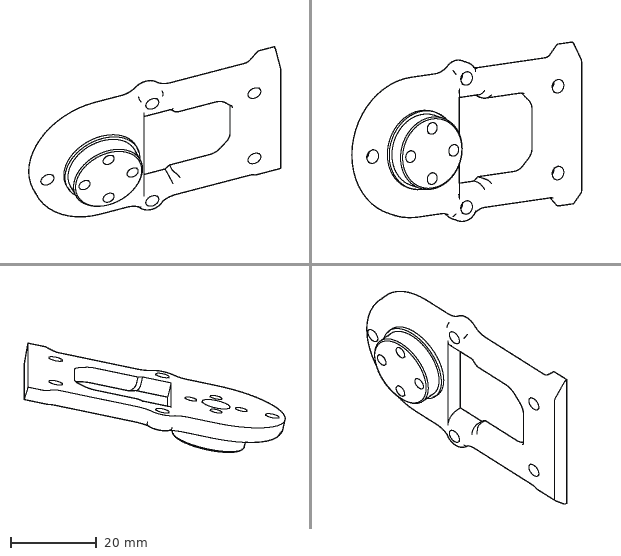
import cadquery as cq
import math


plate_thickness = 4.2
end_radius = 16.5
straight_end_y = 44.8
rim_fillet = 2.0

ear_y = 12.75
ear_z = 15.4
ear_radius = 3.6
ear_blend_radius = 5.0
ear_fillet = 1.6

flange_half_width = 19.32
flange_flat_y = 40.7
flange_foot_y = 38.15
flange_inner_y = 36.5
flank_foot_fillet = 1.8
flank_ridge_fillet = 0.6
bevel_start_x = 0.6
bevel_top_round = 1.2
bevel_bottom_round = 1.2

window_near_y = 10.7
window_far_y = 33.7
window_wide_half = 10.45
window_narrow_half = 9.55
window_step_start_y = 17.5
window_step_end_y = 18.6
window_corner_chamfer = 3.6
window_corner_fillet = 3.5
window_narrow_flare = rim_fillet
window_wide_flare = 2.7

collar_diameter = 18.7
collar_top_x = 5.0
hub_diameter = 17.2
hub_top_x = 9.0
hub_chamfer = 0.35
bore_diameter = 6.6
bore_depth = 3.0
bore_floor_diameter = 3.1
bore_floor_half_angle = 59

mount_hole_diameter = 3.2
end_hole_y = 38.2
end_hole_z = 10.37
tip_hole_y = -13.4
hub_hole_diameter = 2.75
hub_hole_offset = 6.0

SIDES = (-1, 1)
margin = 0.1


def cylinder_x(y, z, diameter, start_x, end_x):
    """Cylinder parallel to X."""
    base = cq.Workplane("YZ", origin=(start_x, y, z))
    return base.circle(diameter / 2).extrude(end_x - start_x)


def edges_near(x, y, z):
    """Selector for the two edges centred at (x, y, z) and mirrored at -z."""
    boxes = [
        cq.selectors.BoxSelector(
            (x - margin, y - margin, side * z - margin),
            (x + margin, y + margin, side * z + margin),
        )
        for side in SIDES
    ]
    return boxes[0] + boxes[1]


def plate_outline():
    """Round-ended plate outline with an ear blended into each long side."""
    blend_z = end_radius + ear_blend_radius
    centre_distance = ear_radius + ear_blend_radius
    blend_dy = math.sqrt(centre_distance ** 2 - (blend_z - ear_z) ** 2)
    ear_share = ear_radius / centre_distance
    touch_dy = blend_dy * ear_share
    touch_z = ear_z + (blend_z - ear_z) * ear_share
    half_angle = math.atan2(blend_dy, blend_z - ear_z) / 2
    mid_dy = blend_dy - ear_blend_radius * math.sin(half_angle)
    mid_z = blend_z - ear_blend_radius * math.cos(half_angle)
    ear_top_z = ear_z + ear_radius
    return (
        cq.Workplane("YZ")
        .moveTo(straight_end_y, -end_radius)
        .lineTo(straight_end_y, end_radius)
        .lineTo(ear_y + blend_dy, end_radius)
        .threePointArc((ear_y + mid_dy, mid_z), (ear_y + touch_dy, touch_z))
        .threePointArc((ear_y, ear_top_z), (ear_y - touch_dy, touch_z))
        .threePointArc((ear_y - mid_dy, mid_z), (ear_y - blend_dy, end_radius))
        .lineTo(0, end_radius)
        .threePointArc((-end_radius, 0), (0, -end_radius))
        .lineTo(ear_y - blend_dy, -end_radius)
        .threePointArc((ear_y - mid_dy, -mid_z), (ear_y - touch_dy, -touch_z))
        .threePointArc((ear_y, -ear_top_z), (ear_y + touch_dy, -touch_z))
        .threePointArc((ear_y + mid_dy, -mid_z), (ear_y + blend_dy, -end_radius))
        .close()
    )


def make_plate():
    """Plate with a rounded rim everywhere except along the square end."""
    plate = plate_outline().extrude(plate_thickness)
    square_end = cq.selectors.BoxSelector(
        (0, straight_end_y - margin, -flange_half_width),
        (plate_thickness + margin, straight_end_y + margin, flange_half_width),
    )
    rim = cq.selectors.SubtractSelector(cq.selectors.StringSyntaxSelector(">X"), square_end)
    return plate.faces(">X").edges(rim).fillet(rim_fillet)


def make_ear_cap(side):
    """Disc with a tighter rim rounding that crowns one ear."""
    disc = cylinder_x(ear_y, side * ear_z, 2 * ear_radius, 0, plate_thickness)
    return disc.faces(">X").edges().fillet(ear_fillet)


def make_flange():
    """Widened square end with sloped flanks and bevelled, rounded long edges."""
    outline = (
        cq.Workplane("YZ")
        .polyline([
            (straight_end_y, -flange_half_width),
            (straight_end_y, flange_half_width),
            (flange_flat_y, flange_half_width),
            (flange_foot_y, end_radius),
            (flange_inner_y, end_radius),
            (flange_inner_y, -end_radius),
            (flange_foot_y, -end_radius),
            (flange_flat_y, -flange_half_width),
        ])
        .close()
        .extrude(plate_thickness)
    )
    mid_x = plate_thickness / 2
    outline = outline.edges(edges_near(mid_x, flange_foot_y, end_radius)).fillet(flank_foot_fillet)
    flank_rims = cq.selectors.BoxSelector(
        (plate_thickness - margin, flange_inner_y + margin, -flange_half_width + margin),
        (plate_thickness + margin, flange_flat_y, flange_half_width - margin),
    )
    outline = outline.edges(flank_rims).fillet(rim_fillet)
    bevel_end_z = flange_half_width - (plate_thickness - bevel_start_x)
    bevelled = (
        cq.Workplane("XZ", origin=(0, straight_end_y, 0))
        .polyline([
            (0, -flange_half_width),
            (bevel_start_x, -flange_half_width),
            (plate_thickness, -bevel_end_z),
            (plate_thickness, bevel_end_z),
            (bevel_start_x, flange_half_width),
            (0, flange_half_width),
        ])
        .close()
        .extrude(straight_end_y)
        .edges(edges_near(bevel_start_x, straight_end_y / 2, flange_half_width)).fillet(bevel_top_round)
        .edges(">X and |Y").fillet(bevel_bottom_round)
    )
    ridge_edges = cq.selectors.BoxSelector(
        (bevel_start_x, (flange_flat_y + flange_foot_y) / 2, -flange_half_width),
        (plate_thickness - rim_fillet - margin, flange_flat_y, flange_half_width),
    )
    return outline.intersect(bevelled).edges(ridge_edges).fillet(flank_ridge_fillet)


def flared_cutter(opening, flare_radius):
    """Grow an opening by the rim rounding it leaves, except along the wall next to the hub."""
    block_length = 4 * window_far_y
    block_width = 4 * window_wide_half
    block = cq.Workplane("YZ").rect(block_length, block_width).extrude(plate_thickness)
    rim = cq.selectors.BoxSelector(
        (plate_thickness - margin, window_near_y + margin, -window_wide_half - margin),
        (plate_thickness + margin, window_far_y + margin, window_wide_half + margin),
    )
    surround = block.cut(opening).edges(rim).fillet(flare_radius)
    return block.cut(surround)


def mirrored_opening(half):
    """Through opening from the +Z half of its outline."""
    mirrored = [(y, -z) for y, z in reversed(half)]
    return cq.Workplane("YZ").polyline(half + mirrored).close().extrude(plate_thickness)


def make_window():
    """Window cutter: long opening with chamfered corners plus a wider, tapering opening."""
    corner_y = window_far_y - window_corner_chamfer
    corner_z = window_narrow_half - window_corner_chamfer
    long_opening = mirrored_opening([
        (window_near_y, window_narrow_half),
        (corner_y, window_narrow_half),
        (window_far_y, corner_z),
    ])
    mid_x = plate_thickness / 2
    for y, z in [(corner_y, window_narrow_half), (window_far_y, corner_z)]:
        long_opening = long_opening.edges(edges_near(mid_x, y, z)).fillet(window_corner_fillet)
    wide_opening = mirrored_opening([
        (window_near_y, window_wide_half),
        (window_step_start_y, window_wide_half),
        (window_step_end_y, window_narrow_half),
    ])
    return flared_cutter(long_opening, window_narrow_flare).union(
        flared_cutter(wide_opening, window_wide_flare)
    )


def make_hub():
    """Collar and chamfered hub."""
    collar = cylinder_x(0, 0, collar_diameter, 0, collar_top_x)
    hub = cylinder_x(0, 0, hub_diameter, 0, hub_top_x)
    return collar.union(hub.faces(">X").chamfer(hub_chamfer))


def make_bore():
    """Blind bore with a conical, flat-ended floor."""
    bore_radius = bore_diameter / 2
    floor_radius = bore_floor_diameter / 2
    cone_depth = (bore_radius - floor_radius) / math.tan(math.radians(bore_floor_half_angle))
    floor_x = bore_depth + cone_depth
    return (
        cq.Workplane("XY")
        .polyline([
            (0, 0),
            (0, bore_radius),
            (bore_depth, bore_radius),
            (floor_x, floor_radius),
            (floor_x, 0),
        ])
        .close()
        .revolve(360, (0, 0, 0), (1, 0, 0))
    )


def drill_holes(body):
    """Mounting holes and the four holes around the bore, all right through."""
    mount_holes = [(tip_hole_y, 0)]
    for side in SIDES:
        mount_holes.append((end_hole_y, side * end_hole_z))
        mount_holes.append((ear_y, side * ear_z))
    for y, z in mount_holes:
        body = body.cut(cylinder_x(y, z, mount_hole_diameter, 0, hub_top_x))
    for side in SIDES:
        offset = side * hub_hole_offset
        body = body.cut(cylinder_x(offset, 0, hub_hole_diameter, 0, hub_top_x))
        body = body.cut(cylinder_x(0, offset, hub_hole_diameter, 0, hub_top_x))
    return body


body = make_plate().cut(make_window())
for side in SIDES:
    body = body.union(make_ear_cap(side))
body = body.union(make_flange()).union(make_hub()).cut(make_bore())
result = drill_holes(body)